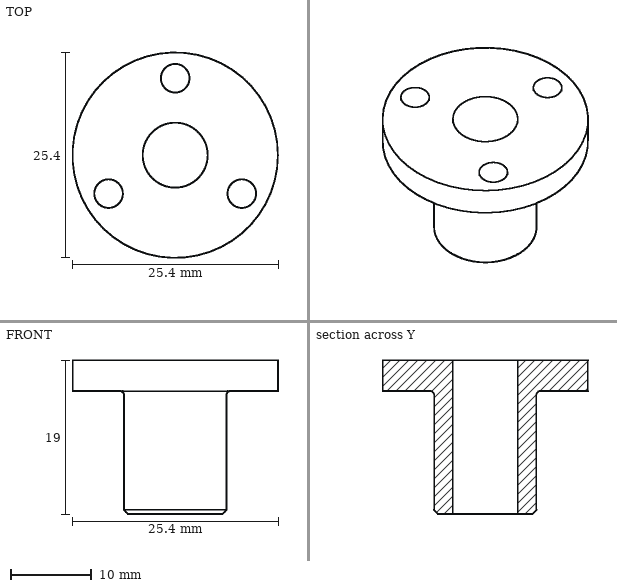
import cadquery as cq

flange_diameter = 25.4
flange_thickness = 3.8

total_height = 19.0
sleeve_diameter = flange_diameter / 2
end_chamfer = 0.5
neck_fillet = 0.5

bore_diameter = 8.0
bolt_hole_diameter = 3.5
bolt_circle_radius = 9.5
bolt_hole_count = 3
first_bolt_angle = 90.0


def make_body():
    """Flange on top of a sleeve, with a filleted neck and a chamfered lower end."""
    flange_radius = flange_diameter / 2
    sleeve_radius = sleeve_diameter / 2
    flange_underside = total_height - flange_thickness
    profile = (
        cq.Workplane("XZ")
        .lineTo(sleeve_radius - end_chamfer, 0)
        .lineTo(sleeve_radius, end_chamfer)
        .lineTo(sleeve_radius, flange_underside - neck_fillet)
        .radiusArc((sleeve_radius + neck_fillet, flange_underside), neck_fillet)
        .lineTo(flange_radius, flange_underside)
        .lineTo(flange_radius, total_height)
        .lineTo(0, total_height)
        .close()
    )
    return profile.revolve(360, (0, 0), (0, 1))


def make_holes():
    """Central bore and the ring of bolt holes, all running through the full height."""
    bore = cq.Workplane("XY").circle(bore_diameter / 2).extrude(total_height)
    bolt_holes = (
        cq.Workplane("XY")
        .polarArray(bolt_circle_radius, first_bolt_angle, 360, bolt_hole_count)
        .circle(bolt_hole_diameter / 2)
        .extrude(total_height)
    )
    return bore.union(bolt_holes)


result = make_body().cut(make_holes())